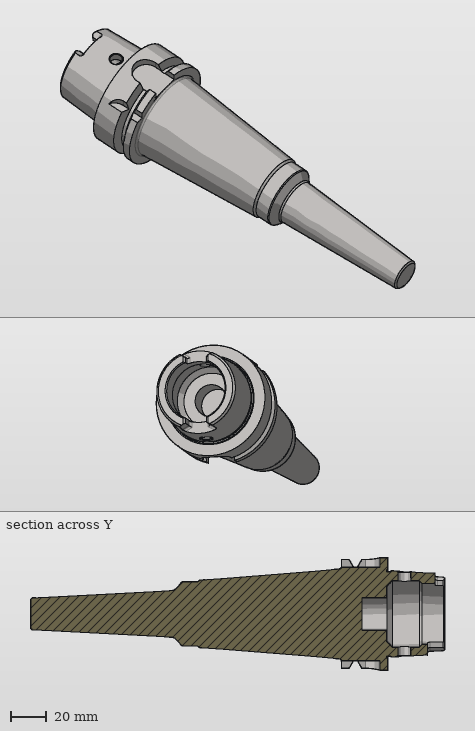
import cadquery as cq
import math


length = 232.0

shank_length = 32.0
shank_end_radius = 22.7
shank_taper = 0.05
shank_chamfer = 1.2
relief_width = 2.0
relief_depth = 0.5
relief_slope = 0.7
face_relief_radius = 25.3

flange_radius = 31.5
flange_end = 58.0
groove_center = 50.0
groove_mouth = 7.0
groove_floor_radius = 27.4
groove_half_angle = 30.0

body_start_radius = 25.3
body_root_fillet = 1.2
body_end = 137.0
body_end_radius = 19.0
collar_start = 138.5
collar_end = 146.9
collar_radius = 18.0
collar_edge = 0.7
nose_start = 152.5
nose_start_radius = 13.2
nose_blend = 1.2
nose_blend_rise = 0.5
nose_tip_radius = 9.0
tip_chamfer = 1.0

bore_radius = 17.0
bore_mouth_bevel = 0.7
bore_lip_end = 12.8
cavity_radius = 18.5
cavity_depth = 32.5
cavity_floor_radius = 15.5
coolant_radius = 9.0
coolant_end = 46.5

drive_half_width = 6.0
drive_depth_top = 5.5
drive_depth_bottom = 9.7
drive_floor_fillet = 1.5
drive_lead_in = 1.2
drive_inner_reach = 12.8
flare_start_height = 18.8
flare_half_width = 9.7
flare_end_height = 20.9

cross_hole_x = 22.7
cross_hole_radius = 3.5
cross_hole_chamfer = 0.7

keyway_radius = 8.1
keyway_center_x = 44.5
keyway_floor = 26.2
notch_wall_y = -20.2
notch_floor_z = 20.0

clearance = 2.3
outside = flange_radius + clearance


def revolve_profile(profile):
    return profile.close().revolve(360, (0, 0, 0), (1, 0, 0))


def make_body():
    relief_start = shank_length - relief_width
    shank_root_radius = shank_end_radius + shank_taper * relief_start
    relief_radius = shank_root_radius - relief_depth
    groove_depth = flange_radius - groove_floor_radius
    groove_half_mouth = groove_mouth / 2
    groove_half_floor = groove_half_mouth - groove_depth * math.tan(math.radians(groove_half_angle))
    fillet_middle = body_root_fillet * (1 - math.sqrt(0.5))
    profile = (
        cq.Workplane("XY")
        .moveTo(0, 0)
        .lineTo(0, shank_end_radius - shank_chamfer)
        .lineTo(shank_chamfer, shank_end_radius + shank_taper * shank_chamfer)
        .lineTo(relief_start, shank_root_radius)
        .lineTo(relief_start + relief_slope, relief_radius)
        .lineTo(shank_length + relief_depth, relief_radius)
        .lineTo(shank_length + relief_depth, face_relief_radius - relief_slope)
        .lineTo(shank_length, face_relief_radius)
        .lineTo(shank_length, flange_radius)
        .lineTo(groove_center - groove_half_mouth, flange_radius)
        .lineTo(groove_center - groove_half_floor, groove_floor_radius)
        .lineTo(groove_center + groove_half_floor, groove_floor_radius)
        .lineTo(groove_center + groove_half_mouth, flange_radius)
        .lineTo(flange_end, flange_radius)
        .lineTo(flange_end, body_start_radius + body_root_fillet)
        .threePointArc(
            (flange_end + fillet_middle, body_start_radius + fillet_middle),
            (flange_end + body_root_fillet, body_start_radius),
        )
        .lineTo(body_end, body_end_radius)
        .lineTo(collar_start, collar_radius)
        .lineTo(collar_end, collar_radius)
        .lineTo(collar_end + collar_edge, collar_radius - collar_edge / 2)
        .lineTo(nose_start - nose_blend, nose_start_radius + nose_blend_rise)
        .lineTo(nose_start, nose_start_radius)
        .lineTo(length - tip_chamfer, nose_tip_radius)
        .lineTo(length, nose_tip_radius - tip_chamfer)
        .lineTo(length, 0)
    )
    return revolve_profile(profile)


def make_cavity():
    undercut_step = cavity_radius - bore_radius
    floor_bevel = cavity_radius - cavity_floor_radius
    profile = (
        cq.Workplane("XY")
        .moveTo(0, 0)
        .lineTo(0, bore_radius + bore_mouth_bevel)
        .lineTo(bore_mouth_bevel, bore_radius)
        .lineTo(bore_lip_end, bore_radius)
        .lineTo(bore_lip_end + undercut_step, cavity_radius)
        .lineTo(cavity_depth - floor_bevel, cavity_radius)
        .lineTo(cavity_depth, cavity_floor_radius)
        .lineTo(cavity_depth, coolant_radius)
        .lineTo(coolant_end, coolant_radius)
        .lineTo(coolant_end, 0)
    )
    return revolve_profile(profile)


def make_drive_slot(depth):
    """Slot on the +Z side of the shank end, with walls that flare near the outside."""
    mouth = drive_half_width + drive_lead_in
    floor_edge = drive_half_width - drive_floor_fillet
    bend = drive_floor_fillet * (1 - math.sqrt(0.5))
    slot = (
        cq.Workplane("XY")
        .workplane(offset=drive_inner_reach)
        .moveTo(0, mouth)
        .lineTo(drive_lead_in, drive_half_width)
        .lineTo(depth - drive_floor_fillet, drive_half_width)
        .threePointArc((depth - bend, drive_half_width - bend), (depth, floor_edge))
        .lineTo(depth, -floor_edge)
        .threePointArc(
            (depth - bend, bend - drive_half_width),
            (depth - drive_floor_fillet, -drive_half_width),
        )
        .lineTo(drive_lead_in, -drive_half_width)
        .lineTo(0, -mouth)
        .close()
        .extrude(outside - drive_inner_reach)
    )
    flare = (
        cq.Workplane("YZ")
        .moveTo(-drive_half_width, flare_start_height)
        .lineTo(drive_half_width, flare_start_height)
        .lineTo(flare_half_width, flare_end_height)
        .lineTo(flare_half_width, outside)
        .lineTo(-flare_half_width, outside)
        .lineTo(-flare_half_width, flare_end_height)
        .close()
        .extrude(depth)
        .faces(">X")
        .edges("not |Y")
        .fillet(drive_floor_fillet)
    )
    return slot.union(flare)


def make_cross_hole():
    """Hole along Z through both walls of the shank, countersunk on the outside."""
    hole = (
        cq.Workplane("XY", origin=(cross_hole_x, 0, 0))
        .circle(cross_hole_radius)
        .extrude(outside, both=True)
    )
    surface = shank_end_radius + shank_taper * cross_hole_x
    rim_radius = cross_hole_radius + cross_hole_chamfer
    for side in (1, -1):
        sink = cq.Solid.makeCone(
            rim_radius,
            cross_hole_radius,
            cross_hole_chamfer,
            cq.Vector(cross_hole_x, 0, side * surface),
            cq.Vector(0, 0, -side),
        )
        hole = hole.union(cq.Workplane(obj=sink))
    return hole


def make_round_ended_cut(center_y, floor_z):
    """Round-ended milled path open towards +X, from floor_z upwards."""
    height = outside - floor_z
    run = flange_end - keyway_center_x
    path = (
        cq.Workplane("XY", origin=(keyway_center_x + run / 2, center_y, floor_z))
        .rect(run, 2 * keyway_radius)
        .extrude(height)
    )
    end = (
        cq.Workplane("XY", origin=(keyway_center_x, center_y, floor_z))
        .circle(keyway_radius)
        .extrude(height)
    )
    return path.union(end)


def opposite(cut):
    return cut.rotate((0, 0, 0), (1, 0, 0), 180)


keyway = make_round_ended_cut(0, keyway_floor)
orientation_notch = make_round_ended_cut(notch_wall_y - keyway_radius, notch_floor_z)

result = (
    make_body()
    .cut(make_cavity())
    .cut(make_drive_slot(drive_depth_top))
    .cut(opposite(make_drive_slot(drive_depth_bottom)))
    .cut(make_cross_hole())
    .cut(keyway)
    .cut(opposite(keyway))
    .cut(orientation_notch)
)